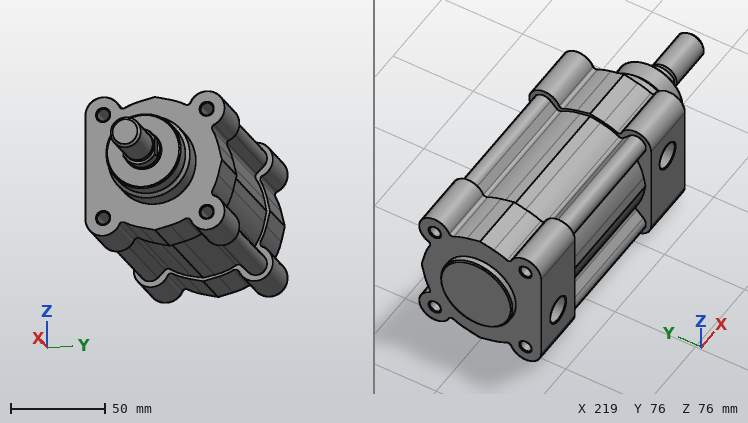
import cadquery as cq
import math

total_length = 219.0
spigot_length = 4.2
cap_length = 34.4
barrel_length = 77.0
nose_length = 13.8
nose_chamfer = 2.0
neck_length = 11.4

rear_cap_start = spigot_length
barrel_start = rear_cap_start + cap_length
front_cap_start = barrel_start + barrel_length
nose_start = front_cap_start + cap_length
neck_start = nose_start + nose_length + nose_chamfer
rod_start = neck_start + neck_length

cap_size = 76.0
lobe_spacing = 56.5
lobe_radius = (cap_size - lobe_spacing) / 2
cap_radius = 35.5
cap_ridge_half_width = 8.3
cap_fillet = 2.0
bolt_hole_diameter = 6.8
bolt_hole_chamfer = 0.55

port_diameter = 15.3
port_depth = 15.3
port_chamfer = 0.5
port_offset = 10.3
port_to_outer_face = 17.5

pilot_radius = 22.3
neck_radius = 20.4
turned_chamfer = 0.77

barrel_radius = 34.0
barrel_ridge_half_width = 6.4
column_radius = 6.0
column_spacing = 57.8
barrel_fillet = 2.2

rod_diameter = 20.1
rod_length = 2.0
rod_chamfer = 0.7
wrench_diameter = 19.5
wrench_length = 7.2
across_flats = 17.0
flats_setback = 0.7
undercut_diameter = 14.0
undercut_fall = 1.3
undercut_rise = 1.8
thread_diameter = 16.5
thread_chamfer = 1.42

edge_tolerance = 0.02


def corner_points(spacing):
    """The four corners of a square centred on the axis."""
    half = spacing / 2
    return [(y, z) for y in (-half, half) for z in (-half, half)]


def section_plane(x):
    """Plane across the axis at x, with local axes Y and Z and normal +X."""
    return cq.Workplane("YZ", origin=(x, 0, 0))


def ridged_round(x, length, radius, ridge_half_width):
    """Round bar with a low ridge on each of its four sides, the flanks tangent to the round."""
    ridge_angle = math.asin(ridge_half_width / radius)
    ridge_base = radius * math.cos(ridge_angle)
    ridge_top = radius / math.cos(ridge_angle)
    body = section_plane(x).circle(radius).extrude(length)
    ridge = (
        section_plane(x)
        .moveTo(0, 0)
        .lineTo(ridge_half_width, ridge_base)
        .lineTo(0, ridge_top)
        .lineTo(-ridge_half_width, ridge_base)
        .close()
        .extrude(length)
    )
    for side in range(4):
        body = body.union(ridge.rotate((0, 0, 0), (1, 0, 0), 90 * side))
    return body


def notch_edges(body, radius, ridge_half_width):
    """Lengthwise edges on the round, clear of the ridges: the inner corners beside lobes or columns."""
    edges = []
    for edge in body.edges("|X").vals():
        y = abs(edge.Center().y)
        z = abs(edge.Center().z)
        on_round = math.isclose(math.hypot(y, z), radius, abs_tol=edge_tolerance)
        if on_round and min(y, z) > ridge_half_width + edge_tolerance:
            edges.append(edge)
    return body.newObject(edges)


def revolved(profile):
    """Solid of revolution about the X axis from (x, radius) points that start and end on the axis."""
    return cq.Workplane("XY").polyline(profile).close().revolve(360, (0, 0, 0), (1, 0, 0))


def cap_block(x):
    """Ridged cap with four corner lobes and a flat -Y side."""
    block = ridged_round(x, cap_length, cap_radius, cap_ridge_half_width)
    lobes = section_plane(x).pushPoints(corner_points(lobe_spacing)).circle(lobe_radius).extrude(cap_length)
    flat_side = cq.Workplane("XY").box(
        cap_length, cap_size / 2, lobe_spacing, centered=(False, False, True)
    ).translate((x, -cap_size / 2, 0))
    block = block.union(lobes).union(flat_side)
    return notch_edges(block, cap_radius, cap_ridge_half_width).fillet(cap_fillet)


def cut_bolt_holes(cap, outer_face, inward):
    """Bolt holes through the lobes; inward is +1 or -1, the X direction into the cap from its outer face."""
    holes = section_plane(outer_face).pushPoints(corner_points(lobe_spacing))
    bores = holes.circle(bolt_hole_diameter / 2).extrude(inward * cap_length)
    countersinks = holes.circle(bolt_hole_diameter / 2 + bolt_hole_chamfer).extrude(
        inward * bolt_hole_chamfer, taper=45
    )
    return cap.cut(bores).cut(countersinks)


def cut_port(cap, x, z):
    """Blind air port in the flat side, chamfered at its mouth."""
    mouth = cq.Workplane("XZ", origin=(x, -cap_size / 2, z))
    bore = mouth.circle(port_diameter / 2).extrude(-port_depth)
    lead_in = mouth.circle(port_diameter / 2 + port_chamfer).extrude(-port_chamfer, taper=45)
    return cap.cut(bore).cut(lead_in)


def make_rear_cap():
    """Rear cap with its pilot spigot."""
    cap = cap_block(rear_cap_start)
    cap = cut_bolt_holes(cap, rear_cap_start, 1)
    cap = cut_port(cap, rear_cap_start + port_to_outer_face, -port_offset)
    spigot = section_plane(0).circle(pilot_radius).extrude(spigot_length)
    spigot = spigot.faces("<X").chamfer(turned_chamfer)
    return cap.union(spigot)


def make_barrel():
    """Ridged barrel with four columns standing on diagonal webs as wide as the columns."""
    barrel = ridged_round(barrel_start, barrel_length, barrel_radius, barrel_ridge_half_width)
    column_distance = column_spacing / math.sqrt(2)
    column = (
        section_plane(barrel_start)
        .center(column_distance / 2, 0)
        .slot2D(column_distance + 2 * column_radius, 2 * column_radius)
        .extrude(barrel_length)
    )
    for corner in range(4):
        barrel = barrel.union(column.rotate((0, 0, 0), (1, 0, 0), 45 + 90 * corner))
    return notch_edges(barrel, barrel_radius, barrel_ridge_half_width).fillet(barrel_fillet)


def make_front_cap():
    """Front cap with its stepped nose."""
    cap = cap_block(front_cap_start)
    cap = cut_bolt_holes(cap, nose_start, -1)
    cap = cut_port(cap, nose_start - port_to_outer_face, port_offset)
    nose = revolved([
        (nose_start, 0),
        (nose_start, pilot_radius),
        (nose_start + nose_length, pilot_radius),
        (neck_start, neck_radius),
        (rod_start - turned_chamfer, neck_radius),
        (rod_start, neck_radius - turned_chamfer),
        (rod_start, 0),
    ])
    return cap.union(nose)


def make_rod():
    """Piston rod end: full diameter, wrench flats, undercut and threaded end."""
    wrench_start = rod_start + rod_length + rod_chamfer
    shoulder = wrench_start + wrench_length
    undercut_bottom = shoulder + undercut_fall
    rod = revolved([
        (rod_start, 0),
        (rod_start, rod_diameter / 2),
        (rod_start + rod_length, rod_diameter / 2),
        (wrench_start, wrench_diameter / 2),
        (shoulder, wrench_diameter / 2),
        (shoulder, thread_diameter / 2),
        (undercut_bottom, undercut_diameter / 2),
        (undercut_bottom + undercut_rise, thread_diameter / 2),
        (total_length - thread_chamfer, thread_diameter / 2),
        (total_length, thread_diameter / 2 - thread_chamfer),
        (total_length, 0),
    ])
    flats_start = wrench_start + flats_setback
    for side in (-1, 1):
        flat = cq.Workplane("XY").box(
            shoulder - flats_start, wrench_diameter, wrench_diameter, centered=(False, True, True)
        ).translate((flats_start, side * (across_flats + wrench_diameter) / 2, 0))
        rod = rod.cut(flat)
    return rod


rear_cap = make_rear_cap()
barrel = make_barrel()
front_cap = make_front_cap()
rod = make_rod()

bodies = [rear_cap, barrel, front_cap, rod]
result = cq.Compound.makeCompound([body.solids().val() for body in bodies])